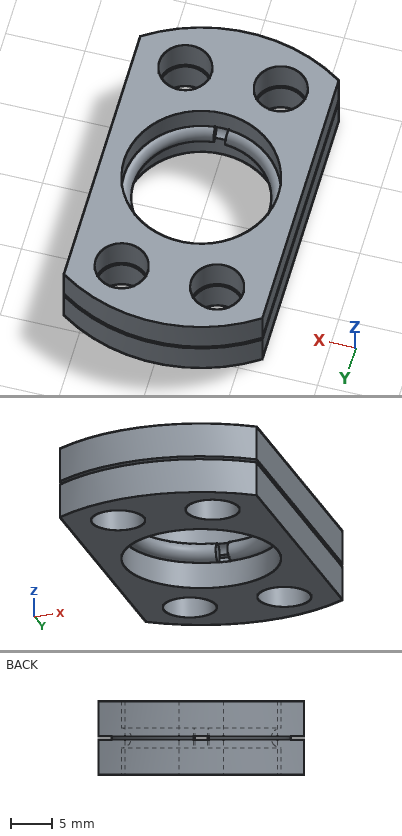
import cadquery as cq

length = 43.85
width = 25.0
height = 9.0
plate_gap = 0.4
plate_thickness = (height - plate_gap) / 2

hole_diameter = 6.58
hole_spacing_x = 12.0
hole_spacing_y = 30.0
bore_diameter = 19.4

wire_diameter = 2.4
split_angle = 10.0


def make_plate(bottom):
    """Round disc trimmed to the width, with the bore and four bolt holes."""
    base = cq.Workplane("XY").workplane(offset=bottom)
    disc = base.circle(length / 2).extrude(plate_thickness)
    trim = base.rect(width, length).extrude(plate_thickness)
    bore = base.circle(bore_diameter / 2).extrude(plate_thickness)
    holes = (
        base.rect(hole_spacing_x, hole_spacing_y, forConstruction=True)
        .vertices()
        .circle(hole_diameter / 2)
        .extrude(plate_thickness)
    )
    return disc.intersect(trim).cut(bore).cut(holes)


def sweep_wire(start_angle, sweep_angle):
    """Arc of round wire about Z, starting start_angle degrees from +X."""
    return (
        cq.Workplane("XZ")
        .center(bore_diameter / 2, 0)
        .circle(wire_diameter / 2)
        .revolve(sweep_angle, (-bore_diameter / 2, 0), (-bore_diameter / 2, 1))
        .rotate((0, 0, 0), (0, 0, 1), start_angle)
    )


lower_plate = make_plate(-height / 2)
upper_plate = make_plate(plate_gap / 2)
result = lower_plate.union(upper_plate)

result = result.cut(sweep_wire(0, 360))
for side_angle in (90, -90):
    ring_half = sweep_wire(side_angle + split_angle / 2, 180 - split_angle)
    result = result.union(ring_half)